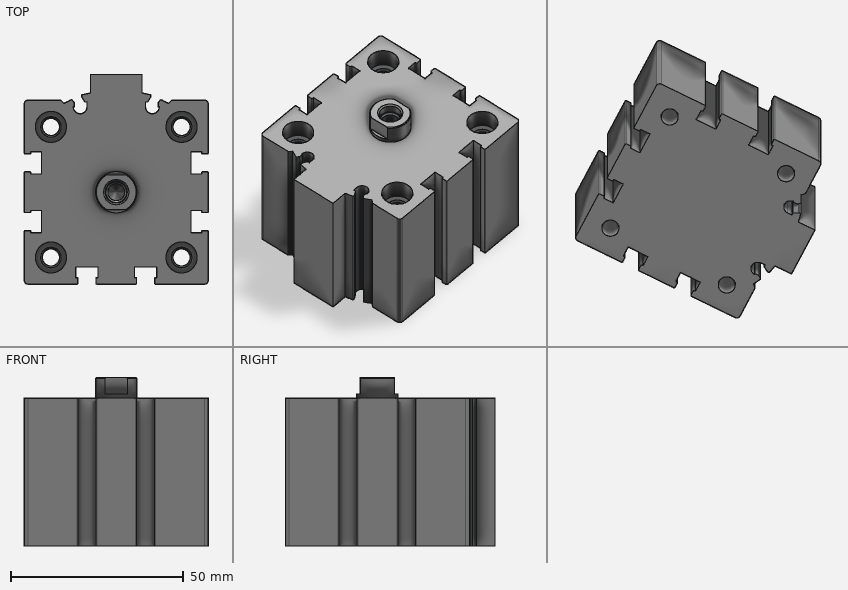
import cadquery as cq
import math

SIDE = 53.5
HALF = SIDE / 2
TOTAL_DEPTH = 61.0
BODY_HEIGHT = 43.0
CORNER_RADIUS = 1.1

RAIL_WIDTH = 15.0
RAIL_TOP_Y = TOTAL_DEPTH - HALF
RAIL_BASE_Y = 28.85

SHOULDER_X = 10.05
SHOULDER_TOP_Y = 28.3
SHOULDER_LOW_Y = 27.7

GROOVE_X = 10.5
GROOVE_Y = 24.75
GROOVE_RADIUS = 1.95
GROOVE_NECK_X = 9.15
GROOVE_NECK_Y = 26.15
GROOVE_STEP = 0.25

LIP_LOW_Y = 26.05
LIP_TOP_X = 12.95
LIP_TOP_Y = 26.95
NOTCH_X = 15.2
NOTCH_Y = 25.8
NOTCH_END_X = 16.15

SLOT_OFFSET = 8.55
SLOT_MOUTH = 5.2
SLOT_WIDTH = 6.4
SLOT_DEPTH = 5.0
SLOT_LIP = 1.95
LIP_RADIUS = 0.3

HOLE_OFFSET = 19.0
HOLE_DIAMETER = 4.95
COUNTERBORE_DIAMETER = 9.0
COUNTERBORE_DEPTH = 5.85
COUNTERSINK_DIAMETER = 6.0

ROD_DIAMETER = 12.0
ROD_EXPOSED = 6.0
ROD_SEAT = 7.3
ROD_CHAMFER = 0.25
FLAT_WIDTH = 10.0
FLAT_HEIGHT = 4.75
BORE_MOUTH_DIAMETER = 7.3
BORE_DIAMETER = 6.4
BORE_DEPTH = 2.8
DRILL_DIAMETER = 4.95
DRILL_DEPTH = 7.3
DRILL_POINT_ANGLE = 118.0


def half_outline():
    """Closed outline of the X >= 0 half of the profile, before the T-slots are cut."""
    rail_x = RAIL_WIDTH / 2
    groove_left = GROOVE_X - GROOVE_RADIUS
    groove_right = GROOVE_X + GROOVE_RADIUS
    return (
        cq.Workplane("XY")
        .moveTo(0, -HALF)
        .lineTo(0, RAIL_TOP_Y)
        .lineTo(rail_x, RAIL_TOP_Y)
        .lineTo(rail_x, RAIL_BASE_Y)
        .lineTo(SHOULDER_X, SHOULDER_TOP_Y)
        .lineTo(SHOULDER_X, SHOULDER_LOW_Y)
        .lineTo(GROOVE_NECK_X, GROOVE_NECK_Y)
        .lineTo(groove_left, GROOVE_NECK_Y)
        .lineTo(groove_left, GROOVE_Y)
        .threePointArc((GROOVE_X, GROOVE_Y - GROOVE_RADIUS), (groove_right, GROOVE_Y))
        .lineTo(groove_right - GROOVE_STEP, GROOVE_Y)
        .lineTo(groove_right - GROOVE_STEP, LIP_LOW_Y)
        .lineTo(LIP_TOP_X, LIP_TOP_Y)
        .lineTo(NOTCH_X, NOTCH_Y)
        .lineTo(NOTCH_END_X, HALF)
        .lineTo(HALF - CORNER_RADIUS, HALF)
        .radiusArc((HALF, HALF - CORNER_RADIUS), CORNER_RADIUS)
        .lineTo(HALF, CORNER_RADIUS - HALF)
        .radiusArc((HALF - CORNER_RADIUS, -HALF), CORNER_RADIUS)
        .close()
    )


def make_slot():
    """Cutter for a T-slot opening to -Y, centred on X = 0, with rounded lips at its mouth."""
    mouth = SLOT_MOUTH / 2
    width = SLOT_WIDTH / 2
    lip_y = SLOT_LIP - HALF
    floor_y = SLOT_DEPTH - HALF
    return (
        cq.Workplane("XY")
        .moveTo(mouth + LIP_RADIUS, -HALF)
        .radiusArc((mouth, LIP_RADIUS - HALF), LIP_RADIUS)
        .lineTo(mouth, lip_y - LIP_RADIUS)
        .radiusArc((mouth + LIP_RADIUS, lip_y), LIP_RADIUS)
        .lineTo(width, lip_y)
        .lineTo(width, floor_y)
        .lineTo(-width, floor_y)
        .lineTo(-width, lip_y)
        .lineTo(-mouth - LIP_RADIUS, lip_y)
        .radiusArc((-mouth, lip_y - LIP_RADIUS), LIP_RADIUS)
        .lineTo(-mouth, LIP_RADIUS - HALF)
        .radiusArc((-mouth - LIP_RADIUS, -HALF), LIP_RADIUS)
        .close()
        .extrude(BODY_HEIGHT)
    )


def make_mounting_hole():
    """Cutter for a counterbored and countersunk through hole on the Z axis."""
    r_hole = HOLE_DIAMETER / 2
    r_sink = COUNTERSINK_DIAMETER / 2
    r_bore = COUNTERBORE_DIAMETER / 2
    floor = BODY_HEIGHT - COUNTERBORE_DEPTH
    return (
        cq.Workplane("XZ")
        .polyline([
            (0, 0),
            (r_hole, 0),
            (r_hole, floor - (r_sink - r_hole)),
            (r_sink, floor),
            (r_bore, floor),
            (r_bore, BODY_HEIGHT),
            (0, BODY_HEIGHT),
        ])
        .close()
        .revolve(360, (0, 0, 0), (0, 1, 0))
    )


def make_housing():
    """Mirrored profile with its T-slots, mounting holes and the blind seat for the rod."""
    half = half_outline().extrude(BODY_HEIGHT)
    body = half.union(half.mirror("YZ")).clean()
    for turn in (-90, 0, 90):
        for side in (-1, 1):
            slot = make_slot().translate((side * SLOT_OFFSET, 0, 0))
            body = body.cut(slot.rotate((0, 0, 0), (0, 0, 1), turn))
    hole = make_mounting_hole()
    for x in (-HOLE_OFFSET, HOLE_OFFSET):
        for y in (-HOLE_OFFSET, HOLE_OFFSET):
            body = body.cut(hole.translate((x, y, 0)))
    seat = (
        cq.Workplane("XY")
        .workplane(offset=BODY_HEIGHT - ROD_SEAT)
        .circle(ROD_DIAMETER / 2)
        .extrude(ROD_SEAT)
    )
    return body.cut(seat)


def make_rod_bore():
    """Cutter for the rod end: chamfered mouth, wide bore, then a countersunk hole with a conical tip."""
    r_mouth = BORE_MOUTH_DIAMETER / 2
    r_bore = BORE_DIAMETER / 2
    r_sink = COUNTERSINK_DIAMETER / 2
    r_drill = DRILL_DIAMETER / 2
    top = BODY_HEIGHT + ROD_EXPOSED
    tip = r_drill / math.tan(math.radians(DRILL_POINT_ANGLE / 2))
    return (
        cq.Workplane("XZ")
        .polyline([
            (0, top),
            (r_mouth, top),
            (r_bore, top - (r_mouth - r_bore)),
            (r_bore, top - BORE_DEPTH),
            (r_sink, top - BORE_DEPTH),
            (r_drill, top - BORE_DEPTH - (r_sink - r_drill)),
            (r_drill, top - DRILL_DEPTH),
            (0, top - DRILL_DEPTH - tip),
        ])
        .close()
        .revolve(360, (0, 0, 0), (0, 1, 0))
    )


def make_rod():
    """Rod standing in its seat, with two wrench flats and a bored end."""
    rod = (
        cq.Workplane("XY")
        .workplane(offset=BODY_HEIGHT - ROD_SEAT)
        .circle(ROD_DIAMETER / 2)
        .extrude(ROD_SEAT + ROD_EXPOSED)
        .faces(">Z")
        .chamfer(ROD_CHAMFER)
    )
    flat_z = BODY_HEIGHT + ROD_EXPOSED - FLAT_HEIGHT / 2
    for side in (-1, 1):
        flat_y = side * (FLAT_WIDTH + ROD_DIAMETER) / 2
        flat = cq.Workplane("XY").box(ROD_DIAMETER, ROD_DIAMETER, FLAT_HEIGHT)
        rod = rod.cut(flat.translate((0, flat_y, flat_z)))
    return rod.cut(make_rod_bore())


housing = make_housing()
rod = make_rod()

result = cq.Compound.makeCompound([housing.val(), rod.val()])